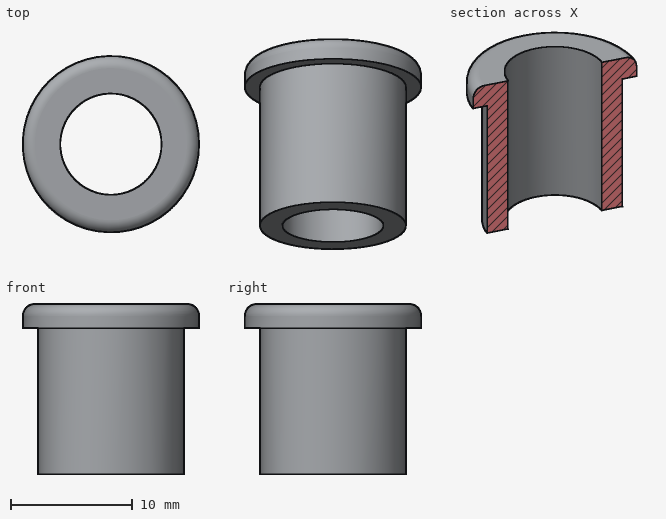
import cadquery as cq

flange_diameter = 14.5
sleeve_diameter = 12.0
bore_diameter = 8.3
total_height = 14.0
flange_thickness = 2.0
rim_radius = flange_thickness / 2

sleeve_height = total_height - flange_thickness

sleeve = cq.Workplane("XY").circle(sleeve_diameter / 2).extrude(sleeve_height)

flange = (
    cq.Workplane("XY", origin=(0, 0, sleeve_height))
    .circle(flange_diameter / 2)
    .extrude(flange_thickness)
    .faces(">Z")
    .edges()
    .fillet(rim_radius)
)

bore = cq.Workplane("XY").circle(bore_diameter / 2).extrude(total_height)

result = sleeve.union(flange).cut(bore)